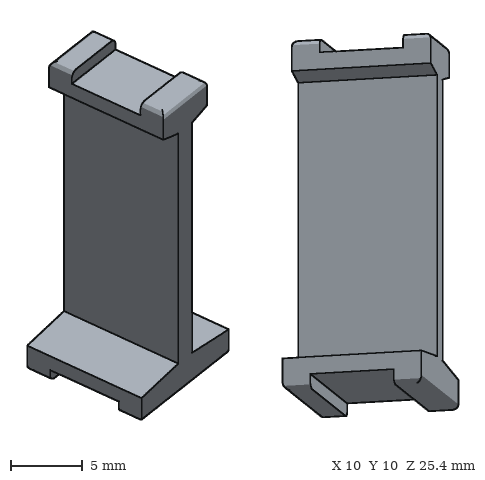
import cadquery as cq

height = 25.4
length = 10.0
foot_width = length
head_width = foot_width / 2
web_thickness = 1.57

flange_edge = 2.2
flange_root = 2.7
rounding = 0.5

notch_length = 6.0
notch_depth = 1.0

top = height / 2
bottom = -top


def make_beam():
    """Extrude the symmetric I-shaped profile along X."""
    half_profile = [
        (0, bottom),
        (foot_width / 2, bottom),
        (foot_width / 2, bottom + flange_edge),
        (web_thickness / 2, bottom + flange_root),
        (web_thickness / 2, top - flange_root),
        (head_width / 2, top - flange_edge),
        (head_width / 2, top),
        (0, top),
    ]
    return (
        cq.Workplane("YZ")
        .polyline(half_profile)
        .mirrorY()
        .extrude(length / 2, both=True)
    )


def round_end_faces(beam):
    """Round the whole rim of the top and bottom faces."""
    return beam.faces(">Z or <Z").edges().fillet(rounding)


def make_notch(end_z):
    """Block running through in Y that cuts one notch into the end at end_z."""
    return cq.Workplane("XY").box(notch_length, foot_width, 2 * notch_depth).translate((0, 0, end_z))


result = round_end_faces(make_beam())
for end_z in (bottom, top):
    result = result.cut(make_notch(end_z))